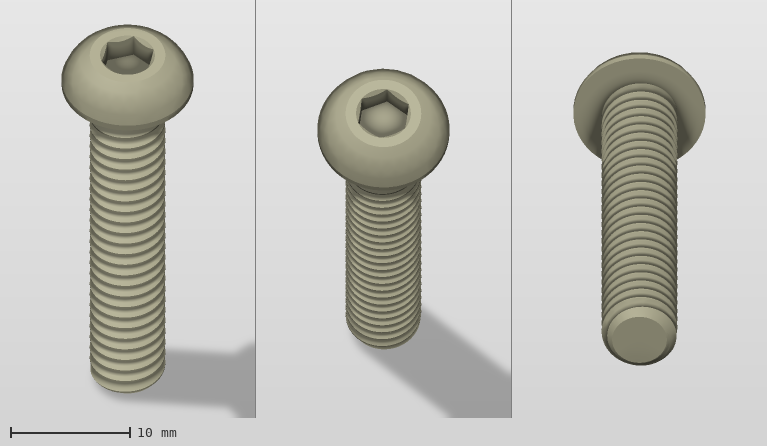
import cadquery as cq
import math

total_length = 38.28
head_diameter = 11.1
head_height = 3.35
rim_height = 0.57
crown_diameter = 6.35
dome_bulge = 0.42
shank_length = total_length - head_height

thread_turns = 27.5
pitch = shank_length / thread_turns
thread_diameter = 6.35
root_diameter = 4.85
flank_half_angle = math.radians(30)
crest_width = pitch / 8
crest_depth_at_start = 0.8
groove_overrun = 0.08
spare_turns = 2

tip_diameter = 4.6

socket_flats = 4.0
socket_depth = 2.22
mouth_depth = 0.3

head_radius = head_diameter / 2
crown_radius = crown_diameter / 2
thread_radius = thread_diameter / 2
root_radius = root_diameter / 2
tip_radius = tip_diameter / 2


def make_head():
    """Domed head with a short cylindrical rim and a flat crown."""
    chord_radial = head_radius - crown_radius
    chord_axial = head_height - rim_height
    chord = math.hypot(chord_radial, chord_axial)
    dome_middle = (
        (head_radius + crown_radius) / 2 + dome_bulge * chord_axial / chord,
        (rim_height + head_height) / 2 + dome_bulge * chord_radial / chord,
    )
    return (
        cq.Workplane("XZ")
        .lineTo(head_radius, 0)
        .lineTo(head_radius, rim_height)
        .threePointArc(dome_middle, (crown_radius, head_height))
        .lineTo(0, head_height)
        .close()
        .revolve(360, (0, 0, 0), (0, 1, 0))
    )


def make_shank_blank():
    """Plain cylinder at the thread diameter, reaching a little way into the head."""
    blank_length = shank_length + rim_height
    return cq.Workplane("XY", origin=(0, 0, -shank_length)).circle(thread_radius).extrude(blank_length)


def make_tip_envelope():
    """Cone widening upward from the flat end at 45 degrees, enclosing the whole shank."""
    cone_height = shank_length + head_height
    return cq.Workplane(
        obj=cq.Solid.makeCone(
            tip_radius,
            tip_radius + cone_height,
            cone_height,
            cq.Vector(0, 0, -shank_length),
        )
    )


def make_thread_groove():
    """Helical groove running from beyond the tip up into the head."""
    turns = math.ceil(shank_length / pitch) + spare_turns
    helix_height = turns * pitch
    first_groove_z = pitch / 2 - crest_depth_at_start
    start_z = first_groove_z + pitch - helix_height
    mouth_radius = thread_radius + groove_overrun
    half_root = (pitch - crest_width) / 2 - (thread_radius - root_radius) * math.tan(flank_half_angle)
    half_mouth = half_root + (mouth_radius - root_radius) * math.tan(flank_half_angle)
    profile = [
        (root_radius, start_z - half_root),
        (mouth_radius, start_z - half_mouth),
        (mouth_radius, start_z + half_mouth),
        (root_radius, start_z + half_root),
    ]
    edges = [
        cq.Wire.makeHelix(pitch, helix_height, radius).translate(cq.Vector(0, 0, z))
        for radius, z in profile
    ]

    faces = []
    for edge, next_edge in zip(edges, edges[1:] + edges[:1]):
        faces.extend(cq.Face.makeRuledSurface(edge, next_edge).Faces())
    for end in (0, 1):
        corners = [edge.positionAt(end) for edge in edges]
        faces.append(cq.Face.makeFromWires(cq.Wire.makePolygon(corners, close=True)))
    return cq.Workplane(obj=cq.Solid.makeSolid(cq.Shell.makeShell(faces)))


def make_socket():
    """Hexagonal recess, corners on the Y axis, with a conical mouth."""
    corner_diameter = socket_flats / math.cos(math.pi / 6)
    corner_radius = corner_diameter / 2
    top = cq.Workplane("XY", origin=(0, 0, head_height))
    hexagon = top.transformed(rotate=(0, 0, 90)).polygon(6, corner_diameter).extrude(-socket_depth)
    mouth = cq.Workplane(
        obj=cq.Solid.makeCone(
            corner_radius,
            corner_radius - mouth_depth,
            mouth_depth,
            cq.Vector(0, 0, head_height),
            cq.Vector(0, 0, -1),
        )
    )
    return hexagon.union(mouth)


shank = make_shank_blank().cut(make_thread_groove()).intersect(make_tip_envelope())
result = make_head().union(shank).cut(make_socket())